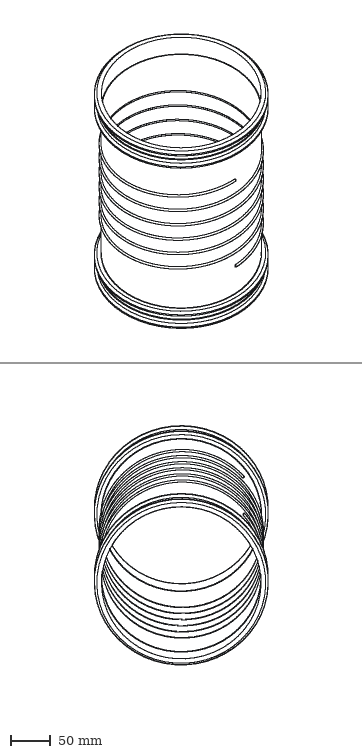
import cadquery as cq

total_height = 308.8
bore_radius = 200.0 / 2
tube_radius = 201.5 / 2

collar_height = 30.0
rib_radius = 218.3 / 2
land_radius = 211.8 / 2
rib_crest = 2.2
rib_bevel = rib_radius - land_radius
groove_width = 1.0
groove_depth = 0.5

wire_radius = 1.5
wire_turns = 6
wire_pitch = 25.0
wire_inset = 0.05

tube_height = total_height - 2 * collar_height
wire_height = wire_turns * wire_pitch
wire_path_radius = bore_radius + wire_radius + wire_inset


def make_collar(base_z):
    """Revolve a collar that stands on base_z; its profile is symmetric about mid-height."""
    rib_width = 2 * rib_bevel + rib_crest
    groove_start = (collar_height - groove_width) / 2
    lower_half = [
        (bore_radius, 0),
        (land_radius, 0),
        (rib_radius, rib_bevel),
        (rib_radius, rib_bevel + rib_crest),
        (land_radius, rib_width),
        (land_radius, groove_start),
        (land_radius - groove_depth, groove_start),
    ]
    upper_half = [(radius, collar_height - z) for radius, z in reversed(lower_half)]
    return (
        cq.Workplane("XZ")
        .polyline(lower_half + upper_half)
        .close()
        .revolve(360, (0, 0), (0, 1))
        .translate((0, 0, base_z))
    )


def make_spiral():
    """Sweep the round wire along a right-handed helix that starts on the +X side."""
    path = cq.Wire.makeHelix(wire_pitch, wire_height, wire_path_radius)
    return (
        cq.Workplane("XZ")
        .center(wire_path_radius, 0)
        .circle(wire_radius)
        .sweep(cq.Workplane(path), isFrenet=True)
        .translate((0, 0, (total_height - wire_height) / 2))
    )


def make_spiral_tube():
    """Thin tube between the collars, with the spiral wire as a raised rib on its wall."""
    tube = (
        cq.Workplane("XY")
        .workplane(offset=collar_height)
        .circle(tube_radius)
        .circle(bore_radius)
        .extrude(tube_height)
    )
    return tube.union(make_spiral())


spiral_tube = make_spiral_tube()
collars = [make_collar(base_z) for base_z in (0, total_height - collar_height)]

result = cq.Compound.makeCompound([spiral_tube.val(), *[collar.val() for collar in collars]])